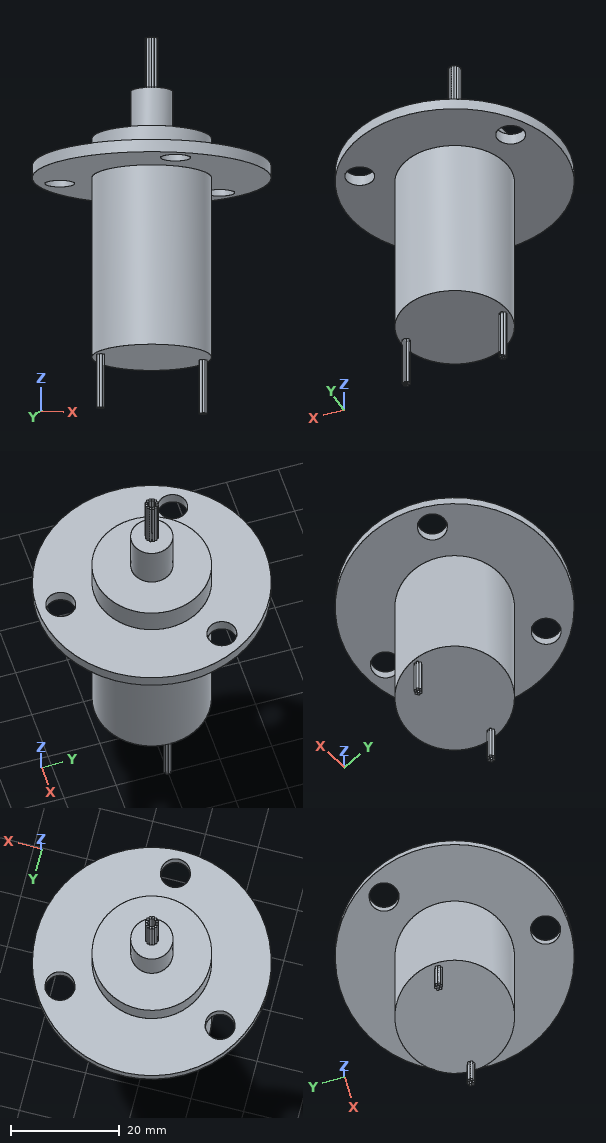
import cadquery as cq

total_height = 70.2
lead_length = 10.05
body_length = 33.85
flange_thickness = 2.3
collar_height = 5.1
body_bottom = lead_length
flange_bottom = body_bottom + body_length
flange_top = flange_bottom + flange_thickness
collar_top = flange_top + collar_height
stub_top = total_height - lead_length

body_diameter = 22.05
flange_diameter = 44.0
stub_diameter = 7.8

hole_diameter = 5.5
hole_circle_radius = 17.55
hole_count = 3
first_hole_angle = 30

wire_diameter = 0.5
upper_wire_count = 12
first_wire_angle = 90
upper_ring_radius = 1.0
lower_wire_count = 6
lower_ring_radius = 0.505
lower_bundle_offset = 9.75
wire_embed = 0.35


def disc(diameter, bottom, top):
    """Solid cylinder on the Z axis."""
    return cq.Workplane("XY").workplane(offset=bottom).circle(diameter / 2).extrude(top - bottom)


def wire_ring(center_x, radius, count, bottom, top):
    """Ring of parallel vertical wires."""
    return (
        cq.Workplane("XY", origin=(center_x, 0, bottom))
        .polarArray(radius, first_wire_angle, 360, count)
        .circle(wire_diameter / 2)
        .extrude(top - bottom)
    )


def drilled_flange():
    """Mounting flange with evenly spaced through holes."""
    holes = (
        cq.Workplane("XY")
        .workplane(offset=flange_bottom)
        .polarArray(hole_circle_radius, first_hole_angle, 360, hole_count)
        .circle(hole_diameter / 2)
        .extrude(flange_thickness)
    )
    return disc(flange_diameter, flange_bottom, flange_top).cut(holes)


housing = disc(body_diameter, body_bottom, collar_top)
housing = housing.union(drilled_flange())
housing = housing.union(disc(stub_diameter, collar_top, stub_top))

result = housing.union(
    wire_ring(0, upper_ring_radius, upper_wire_count, stub_top - wire_embed, total_height)
)
for side in (-1, 1):
    bundle = wire_ring(
        side * lower_bundle_offset, lower_ring_radius, lower_wire_count, 0, body_bottom + wire_embed
    )
    result = result.union(bundle)